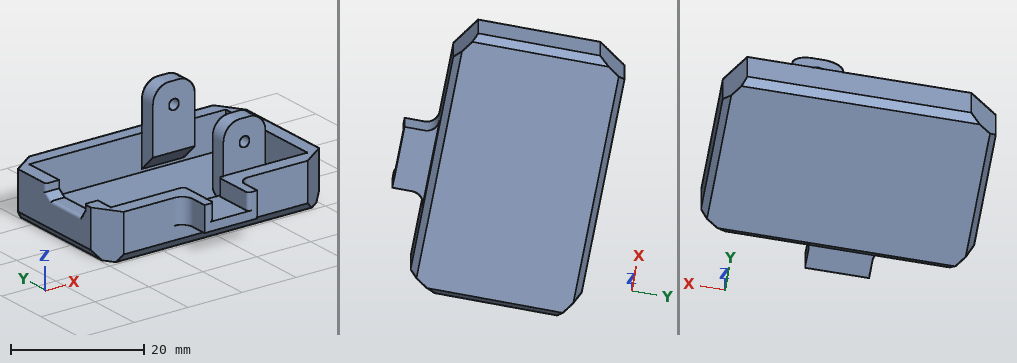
import cadquery as cq

length = 41.4
depth = 25.9
height = 8.35
floor = 2.0
wall = 2.5
front_wall = 2.55
chamfer_in = 1.05
chamfer_up = 1.45
corner_short = 3.0
corner_long = 4.3

spout_left = 14.35
spout_width = 9.75
spout_reach = 4.95
spout_height = 4.55
spout_fillet = 1.95
channel_width = 6.38
channel_depth = 3.0
mouth_round = 0.6

notch_front = 5.9
notch_back = 15.8
notch_depth = 2.35
notch_short = 1.0
notch_long = 1.4
notch_round = 0.5

lug_left = 23.35
lug_width = 7.8
lug_top = 16.9
lug_foot = 2.5
lug_slope = 2.8
lug_round = 3.02
lug_hole = 1.82
lug_hole_drop = 3.9
front_lug_thickness = 2.77
back_lug_thickness = 2.85

cavity_back = depth - wall
spout_middle = spout_left + spout_width / 2


def chamfered_section(span):
    """Upright outline of the body with both lower corners sloped."""
    return [
        (chamfer_in, 0),
        (span - chamfer_in, 0),
        (span, chamfer_up),
        (span, height),
        (0, height),
        (0, chamfer_up),
    ]


def make_body():
    """Solid block with a sloped lower rim and four vertical corner cuts."""
    outline_xy = [
        (corner_short, 0),
        (length - corner_long, 0),
        (length, corner_short),
        (length, depth - corner_long),
        (length - corner_short, depth),
        (corner_long, depth),
        (0, depth - corner_short),
        (0, corner_long),
    ]
    block = cq.Workplane("XY").polyline(outline_xy).close().extrude(height)
    along_y = cq.Workplane("XZ").polyline(chamfered_section(length)).close().extrude(-depth)
    along_x = cq.Workplane("YZ").polyline(chamfered_section(depth)).close().extrude(length)
    return block.intersect(along_y).intersect(along_x)


def make_spout():
    """Spout block that flares into the front wall with concave fillets."""
    left = spout_left
    right = spout_left + spout_width
    return (
        cq.Workplane("XY", origin=(0, 0, height - spout_height))
        .moveTo(left, -spout_reach)
        .lineTo(right, -spout_reach)
        .lineTo(right, -spout_fillet)
        .radiusArc((right + spout_fillet, 0), spout_fillet)
        .lineTo(right + spout_fillet, front_wall)
        .lineTo(left - spout_fillet, front_wall)
        .lineTo(left - spout_fillet, 0)
        .radiusArc((left, -spout_fillet), spout_fillet)
        .close()
        .extrude(spout_height)
    )


def make_channel():
    """Cutter for the spout channel, flared by rounded edges at both mouths."""
    half = channel_width / 2
    flare = half + mouth_round
    return (
        cq.Workplane("XY", origin=(spout_middle, 0, height - channel_depth))
        .moveTo(-flare, -spout_reach)
        .lineTo(flare, -spout_reach)
        .radiusArc((half, mouth_round - spout_reach), mouth_round)
        .lineTo(half, front_wall - mouth_round)
        .radiusArc((flare, front_wall), mouth_round)
        .lineTo(-flare, front_wall)
        .radiusArc((-half, front_wall - mouth_round), mouth_round)
        .lineTo(-half, mouth_round - spout_reach)
        .radiusArc((-flare, -spout_reach), mouth_round)
        .close()
        .extrude(channel_depth)
    )


def cut_notch(body):
    """Cut the left wall notch and round its outer edges."""
    bottom = height - notch_depth
    outline = [
        (notch_front, height),
        (notch_front, bottom + notch_long),
        (notch_front + notch_short, bottom),
        (notch_back - notch_long, bottom),
        (notch_back, bottom + notch_short),
        (notch_back, height),
    ]
    cutter = cq.Workplane("YZ").polyline(outline).close().extrude(wall)
    rim = cq.selectors.BoxSelector(
        (-notch_round, notch_front - notch_round, bottom - notch_round),
        (notch_round, notch_back + notch_round, height + notch_round),
    )
    return body.cut(cutter).edges(rim).fillet(notch_round)


def make_cavity():
    """Cutter for the open-topped rectangular cavity."""
    return (
        cq.Workplane("XY", origin=(wall, front_wall, floor))
        .rect(length - 2 * wall, cavity_back - front_wall, centered=False)
        .extrude(height - floor)
    )


def make_lug(wall_face, inner_face):
    """Wall-mounted lug with a sloped underside, rounded top corners and a pivot hole."""
    profile = [
        (wall_face, lug_foot),
        (wall_face, lug_top),
        (inner_face, lug_top),
        (inner_face, lug_foot + lug_slope),
    ]
    lug = cq.Workplane("YZ", origin=(lug_left, 0, 0)).polyline(profile).close().extrude(lug_width)
    lug = lug.edges("|Y and >Z").fillet(lug_round)
    hole = (
        cq.Workplane("XZ", origin=(lug_left + lug_width / 2, 0, lug_top - lug_hole_drop))
        .circle(lug_hole / 2)
        .extrude(-depth)
    )
    return lug.cut(hole)


body = make_body().union(make_spout())
body = body.cut(make_cavity()).cut(make_channel())
body = cut_notch(body)
front_lug = make_lug(front_wall, front_wall + front_lug_thickness)
back_lug = make_lug(cavity_back, cavity_back - back_lug_thickness)
result = body.union(front_lug).union(back_lug)